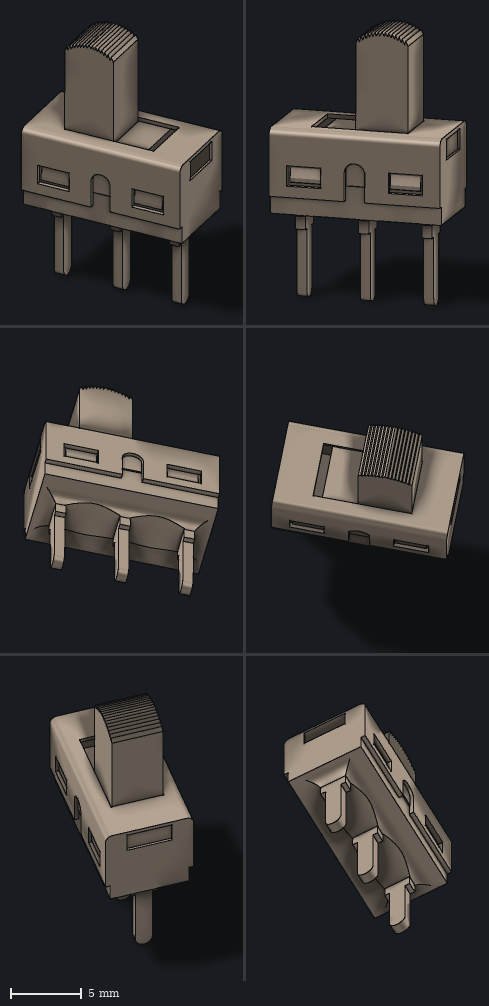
import cadquery as cq
import math

TOTAL_HEIGHT = 20.2
COVER_TOP = 12.95
COVER_BOTTOM = 7.95
HOUSING_BOTTOM = 6.62
PIN_SHOULDER = 5.1

LENGTH = 12.7
COVER_WIDTH = 6.6
COVER_WALL = 0.35
COVER_ROOF = 0.3
COVER_BEND_RADIUS = 0.55
ROOF_UNDERSIDE = COVER_TOP - COVER_ROOF
SLOT_LENGTH = 7.15
SLOT_WIDTH = 3.95

HOUSING_WIDTH = COVER_WIDTH - 2 * COVER_WALL
HOUSING_WALL = 0.18
CAVITY_LENGTH = LENGTH - 2 * HOUSING_WALL
CAVITY_WIDTH = HOUSING_WIDTH - 2 * HOUSING_WALL
END_WINDOW_WIDTH = 3.35
END_WINDOW_HEIGHT = 1.51
END_WINDOW_BOTTOM = ROOF_UNDERSIDE - END_WINDOW_HEIGHT

LATCH_WINDOW_X = 3.78
LATCH_WINDOW_LENGTH = 2.52
LATCH_WINDOW_BOTTOM = 8.78
LATCH_WINDOW_HEIGHT = 1.5
WEDGE_X = 3.71
WEDGE_LENGTH = 2.26
WEDGE_BOTTOM = 9.05
WEDGE_LIP_HEIGHT = 0.3
WEDGE_HEIGHT = 1.03
WEDGE_REACH = 0.16

NOTCH_WIDTH = 1.53
NOTCH_TOP = 10.76
KEY_WIDTH = 1.41
KEY_BOTTOM = WEDGE_BOTTOM
KEY_REACH = 0.1

HANDLE_LENGTH = 3.9
HANDLE_WIDTH = 3.84
HANDLE_X = (HANDLE_LENGTH - SLOT_LENGTH) / 2
HANDLE_SHOULDER = 19.3
CARRIAGE_LENGTH = 2 * (HANDLE_X + CAVITY_LENGTH / 2)

CROWN_RADIUS = 3.1
TOOTH_DEPTH = 0.26
TEETH_PER_SIDE = 7
LAST_TOOTH_INSET = 0.18
TOOTH_PITCH = (HANDLE_LENGTH / 2 - LAST_TOOTH_INSET) / TEETH_PER_SIDE
VALLEY_OFFSET = 0.08

PIN_PITCH = 4.7
PIN_THICKNESS = 0.77
PIN_WIDTH = 1.27
PIN_ROOT_WIDTH = 2.02

RESIN_RIM = 6.05
RESIN_TIP = 5.95
RESIN_TIP_WIDTH = 1.41
RESIN_SAG_TOP = 6.45
RESIN_FLANK_RADIUS = 2.4 / 2


def block(length, width, bottom, top, x=0.0, y=0.0):
    """Box centred on (x, y) that spans the given heights."""
    return cq.Workplane("XY", origin=(x, y, bottom)).rect(length, width).extrude(top - bottom)


def both_sides(solid):
    """The solid together with its mirror image on the +Y side."""
    return solid.union(solid.mirror("XZ"))


def make_cover():
    """Cover block with bent top edges, open at the notches and latch windows."""
    cover = block(LENGTH, COVER_WIDTH, COVER_BOTTOM, COVER_TOP)
    cover = cover.edges("|X and >Z").fillet(COVER_BEND_RADIUS)
    wall_y = -(COVER_WIDTH - COVER_WALL) / 2
    notch_radius = NOTCH_WIDTH / 2
    spring_line = NOTCH_TOP - notch_radius
    notch = block(NOTCH_WIDTH, COVER_WALL, COVER_BOTTOM, spring_line, y=wall_y)
    arch = (
        cq.Workplane("XZ", origin=(0, -HOUSING_WIDTH / 2, spring_line))
        .circle(notch_radius)
        .extrude(COVER_WALL)
    )
    openings = notch.union(arch)
    window_top = LATCH_WINDOW_BOTTOM + LATCH_WINDOW_HEIGHT
    for side in (-1, 1):
        window_x = side * LATCH_WINDOW_X
        window = block(LATCH_WINDOW_LENGTH, COVER_WALL, LATCH_WINDOW_BOTTOM, window_top, window_x, wall_y)
        openings = openings.union(window)
    return cover.cut(both_sides(openings))


def make_wedge(x):
    """Snap wedge: sloped above, with a flat lip and a square underside."""
    return (
        cq.Workplane("YZ", origin=(x - WEDGE_LENGTH / 2, -HOUSING_WIDTH / 2, WEDGE_BOTTOM))
        .polyline([(0, 0), (-WEDGE_REACH, 0), (-WEDGE_REACH, WEDGE_LIP_HEIGHT), (0, WEDGE_HEIGHT)])
        .close()
        .extrude(WEDGE_LENGTH)
    )


def make_housing_details():
    details = block(KEY_WIDTH, 2 * KEY_REACH, KEY_BOTTOM, NOTCH_TOP, y=-HOUSING_WIDTH / 2)
    for side in (-1, 1):
        details = details.union(make_wedge(side * WEDGE_X))
    return both_sides(details)


def make_hollow():
    """Slider cavity, the window in each end wall and the slot in the roof."""
    cavity = block(CAVITY_LENGTH, CAVITY_WIDTH, COVER_BOTTOM, ROOF_UNDERSIDE)
    end_windows = block(LENGTH, END_WINDOW_WIDTH, END_WINDOW_BOTTOM, ROOF_UNDERSIDE)
    slot = block(SLOT_LENGTH, SLOT_WIDTH, ROOF_UNDERSIDE, COVER_TOP)
    return cavity.union(end_windows).union(slot)


def on_arc(x, radius):
    """Crown point at x on an arc that shares the crown's centre."""
    centre_z = TOTAL_HEIGHT - CROWN_RADIUS
    return (x, centre_z + math.sqrt(radius**2 - x**2))


def make_slider():
    half_length = HANDLE_LENGTH / 2
    right_crown = []
    for tooth in range(TEETH_PER_SIDE):
        outer_peak_x = (tooth + 1) * TOOTH_PITCH
        right_crown.append(on_arc(outer_peak_x - VALLEY_OFFSET, CROWN_RADIUS - TOOTH_DEPTH))
        right_crown.append(on_arc(outer_peak_x, CROWN_RADIUS))
    right_crown.append((half_length, HANDLE_SHOULDER))
    left_crown = [(-x, z) for x, z in reversed(right_crown)]
    base = [(half_length, ROOF_UNDERSIDE), (-half_length, ROOF_UNDERSIDE)]
    handle = (
        cq.Workplane("XZ", origin=(HANDLE_X, 0, 0))
        .polyline(left_crown + [(0, TOTAL_HEIGHT)] + right_crown + base)
        .close()
        .extrude(HANDLE_WIDTH / 2, both=True)
    )
    carriage = block(CARRIAGE_LENGTH, CAVITY_WIDTH, END_WINDOW_BOTTOM, ROOF_UNDERSIDE, HANDLE_X)
    return handle.union(carriage)


def make_pin(x):
    tip_radius = PIN_WIDTH / 2
    root = block(PIN_THICKNESS, PIN_ROOT_WIDTH, PIN_SHOULDER, HOUSING_BOTTOM, x)
    blade = block(PIN_THICKNESS, PIN_WIDTH, tip_radius, PIN_SHOULDER, x)
    tip = (
        cq.Workplane("YZ", origin=(x - PIN_THICKNESS / 2, 0, tip_radius))
        .circle(tip_radius)
        .extrude(PIN_THICKNESS)
    )
    return root.union(blade).union(tip)


def resin_flank(half_width):
    """Middle and end of the concave flank that runs out tangent to the housing floor."""
    drop = HOUSING_BOTTOM - RESIN_RIM
    end_angle = math.acos(1 - drop / RESIN_FLANK_RADIUS)
    run = RESIN_FLANK_RADIUS * math.sin(end_angle)
    middle_reach = half_width + run - RESIN_FLANK_RADIUS * math.sin(end_angle / 2)
    middle_z = HOUSING_BOTTOM - RESIN_FLANK_RADIUS * (1 - math.cos(end_angle / 2))
    return (middle_reach, middle_z), (half_width + run, HOUSING_BOTTOM)


def make_resin():
    pin_edge = PIN_PITCH + PIN_THICKNESS / 2
    flank_middle, flank_end = resin_flank(pin_edge)
    along = (
        cq.Workplane("XZ")
        .moveTo(-flank_end[0], HOUSING_BOTTOM)
        .threePointArc((-flank_middle[0], flank_middle[1]), (-pin_edge, RESIN_RIM))
        .lineTo(-PIN_PITCH, RESIN_TIP)
        .threePointArc((-PIN_PITCH / 2, RESIN_SAG_TOP), (0, RESIN_TIP))
        .threePointArc((PIN_PITCH / 2, RESIN_SAG_TOP), (PIN_PITCH, RESIN_TIP))
        .lineTo(pin_edge, RESIN_RIM)
        .threePointArc(flank_middle, flank_end)
        .close()
        .extrude(HOUSING_WIDTH / 2, both=True)
    )

    root_edge = PIN_ROOT_WIDTH / 2
    flank_middle, flank_end = resin_flank(root_edge)
    across = (
        cq.Workplane("YZ")
        .moveTo(-flank_end[0], HOUSING_BOTTOM)
        .threePointArc((-flank_middle[0], flank_middle[1]), (-root_edge, RESIN_RIM))
        .lineTo(-RESIN_TIP_WIDTH / 2, RESIN_TIP)
        .lineTo(RESIN_TIP_WIDTH / 2, RESIN_TIP)
        .lineTo(root_edge, RESIN_RIM)
        .threePointArc(flank_middle, flank_end)
        .close()
        .extrude(LENGTH / 2, both=True)
    )
    return along.intersect(across)


housing = block(LENGTH, HOUSING_WIDTH, HOUSING_BOTTOM, COVER_TOP - COVER_BEND_RADIUS)
body = make_cover().union(housing).union(make_housing_details()).cut(make_hollow())
result = body.union(make_slider()).union(make_resin())
for pin_number in (-1, 0, 1):
    result = result.union(make_pin(pin_number * PIN_PITCH))